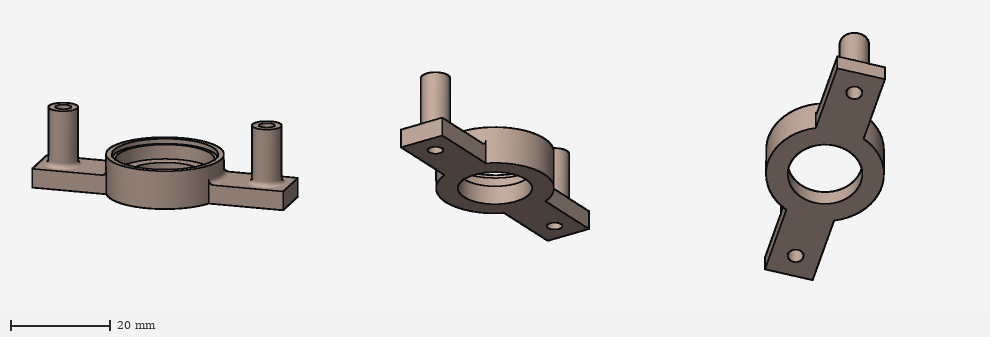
import cadquery as cq

bar_length = 53.0
bar_width = 10.0
bar_height = 4.0

ring_diameter = 23.8
ring_height = 8.0
bore_diameter = 15.0
seat_diameter = 20.0
seat_floor = 4.0
rim_diameter = 21.4
rim_depth = 1.0

post_diameter = 6.0
post_top = 16.0
post_hole_diameter = 3.2
post_spacing = 43.0

root_radius = 1.0


def cylinder(diameter, bottom, top):
    """Upright cylinder on the Z axis between two heights."""
    return cq.Workplane("XY", origin=(0, 0, bottom)).circle(diameter / 2).extrude(top - bottom)


def root_blend(diameter):
    """Cylinder flaring concavely down to the top face of the bar."""
    radius = diameter / 2
    flare_top = bar_height + root_radius
    return (
        cq.Workplane("XZ")
        .moveTo(0, bar_height)
        .lineTo(radius + root_radius, bar_height)
        .radiusArc((radius, flare_top), root_radius)
        .lineTo(0, flare_top)
        .close()
        .revolve(360, (0, 0), (0, 1))
    )


bar = cq.Workplane("XY").box(bar_length, bar_width, bar_height, centered=(True, True, False))

blend_limits = cq.Workplane("XY").box(bar_length, bar_width, ring_height, centered=(True, True, False))
ring_blend = root_blend(ring_diameter).intersect(blend_limits)

body = bar.union(cylinder(ring_diameter, 0, ring_height)).union(ring_blend)

body = body.cut(cylinder(bore_diameter, 0, ring_height))
body = body.cut(cylinder(seat_diameter, seat_floor, ring_height))
body = body.cut(cylinder(rim_diameter, ring_height - rim_depth, ring_height))

post = cylinder(post_diameter, 0, post_top).union(root_blend(post_diameter))
post_hole = cylinder(post_hole_diameter, 0, post_top)
for side in (-1, 1):
    offset = (side * post_spacing / 2, 0, 0)
    body = body.union(post.translate(offset)).cut(post_hole.translate(offset))

result = body